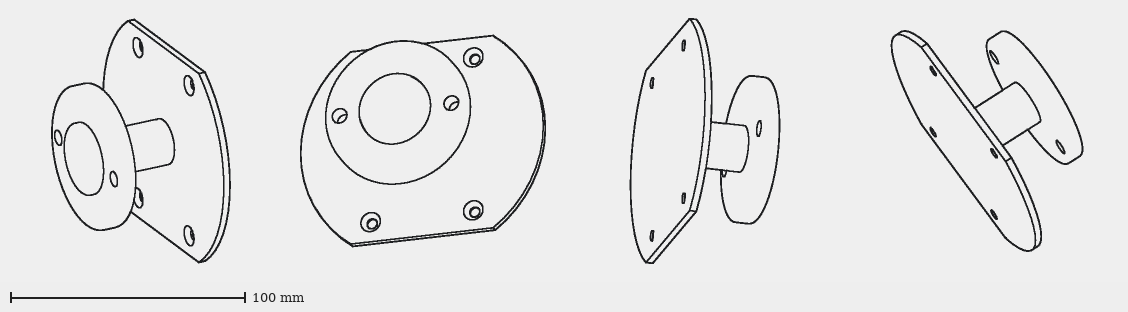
import cadquery as cq
import math

plate_diameter = 108.6
plate_height = 88.0
plate_thickness = 3.0

stem_diameter = 20.0
stem_length = 30.0
flange_diameter = 63.0
flange_thickness = 7.5
flange_edge_radius = 1.0
boss_diameter = 31.5
boss_height = 2.5
boss_edge_radius = 1.0

mount_spacing_x = 45.9
mount_spacing_z = 69.9
mount_diameter = 4.5
countersink_diameter = 8.7
countersink_angle = 90.0

flange_hole_spacing = 50.0
flange_hole_diameter = 6.5

stem_start = plate_thickness
flange_start = stem_start + stem_length
boss_start = flange_start + flange_thickness


def plane_at(distance):
    """Workplane facing -Y, the given distance in front of the plate back."""
    return cq.Workplane("XZ", origin=(0, -distance, 0))


def make_plate():
    half_height = plate_height / 2
    radius = plate_diameter / 2
    half_flat = math.sqrt(radius**2 - half_height**2)
    plate = (
        plane_at(0)
        .moveTo(-half_flat, half_height)
        .lineTo(half_flat, half_height)
        .threePointArc((radius, 0), (half_flat, -half_height))
        .lineTo(-half_flat, -half_height)
        .threePointArc((-radius, 0), (-half_flat, half_height))
        .close()
        .extrude(plate_thickness)
    )
    return (
        plate.faces("<Y")
        .workplane(centerOption="CenterOfBoundBox")
        .rect(mount_spacing_x, mount_spacing_z, forConstruction=True)
        .vertices()
        .cskHole(mount_diameter, countersink_diameter, countersink_angle)
    )


def make_stem():
    return plane_at(stem_start).circle(stem_diameter / 2).extrude(stem_length)


def make_flange():
    flange = (
        plane_at(flange_start)
        .circle(flange_diameter / 2)
        .extrude(flange_thickness)
        .edges()
        .fillet(flange_edge_radius)
    )
    holes = (
        plane_at(flange_start)
        .pushPoints([(side * flange_hole_spacing / 2, 0) for side in (-1, 1)])
        .circle(flange_hole_diameter / 2)
        .extrude(flange_thickness)
    )
    return flange.cut(holes)


def make_boss():
    return (
        plane_at(boss_start)
        .circle(boss_diameter / 2)
        .extrude(boss_height)
        .faces("<Y")
        .edges()
        .fillet(boss_edge_radius)
    )


result = make_plate().union(make_stem()).union(make_flange()).union(make_boss())